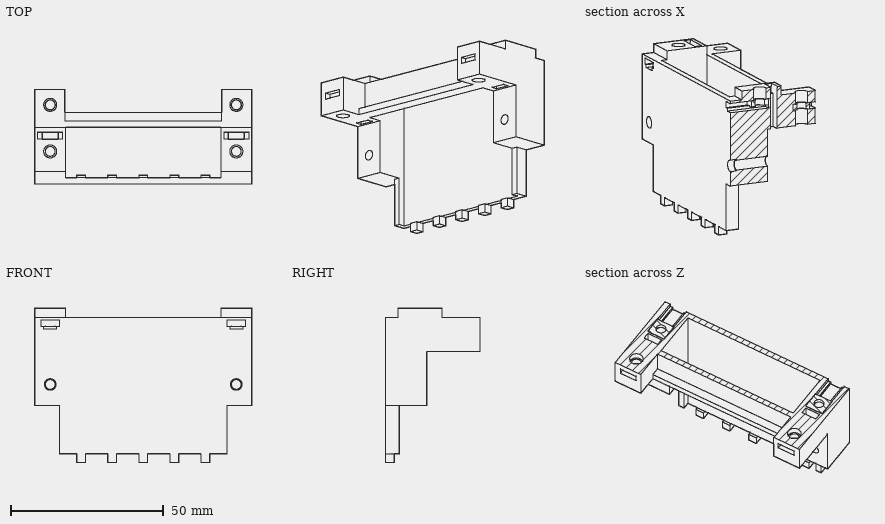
import cadquery as cq

WIDTH = 71.1
DEPTH = 31.0
HEIGHT = 50.5

PLATE_THICKNESS = 2.1
PLATE_BOTTOM = 2.85
TONGUE_WIDTH = 54.9
RIB_DEPTH = 4.55

TOOTH_COUNT = 5
TOOTH_PITCH = 10.2
TOOTH_WIDTH = 2.9
TOOTH_DEPTH = 3.0

BLOCK_WIDTH = 10.2
REAR_BLOCK_WIDTH = 9.95
PAD_HEIGHT = 3.0
PAD_FRONT = 4.1
PAD_BACK = 18.55
ARM_HEIGHT = 14.2
LEG_DEPTH = 13.6
LEG_HEIGHT = 31.85
SHOULDER = HEIGHT - PAD_HEIGHT
ARM_BOTTOM = HEIGHT - ARM_HEIGHT
LEG_BOTTOM = HEIGHT - LEG_HEIGHT

RAIL_WALL_BACK = 20.6
RAIL_LEDGE_BACK = 23.55
RAIL_LEDGE_THICKNESS = 2.05

HOLE_X = 30.45
SCREW_HOLE_DIAMETER = 4.3
FRONT_SCREW_Y = 10.75
REAR_SCREW_Y = 25.95
NUT_WIDTH = 6.1
NUT_THICKNESS = 2.05
NUT_BORE_DIAMETER = 3.2
NUT_DEPTH = 6.0
FRONT_NUT_BOTTOM = HEIGHT - NUT_DEPTH
REAR_NUT_BOTTOM = SHOULDER - NUT_DEPTH
TIP_GROOVE_DEPTH = 0.9

LEG_HOLE_Z = 25.5
LEG_HOLE_DIAMETER = 3.8
LEG_HOLE_BACK_DIAMETER = 3.2
LEG_HOLE_STEP_DEPTH = 2.3

SLOT_FRONT = 14.7
SLOT_BACK = 16.85
SLOT_WIDTH = 8.2
SLOT_LOWER_WIDTH = 5.1
SLOT_LEAD_IN = 0.3
SLOT_LEAD_IN_HEIGHT = 1.1

SIDES = (-1, 1)


def box(x_range, y_range, z_range):
    """A box between the given low and high coordinates."""
    (x0, x1), (y0, y1), (z0, z1) = x_range, y_range, z_range
    return cq.Workplane("XY").box(x1 - x0, y1 - y0, z1 - z0, centered=False).translate((x0, y0, z0))


def centred(x, width):
    """The X range of the given width around x."""
    return (x - width / 2, x + width / 2)


def upright_cylinder(x, y, z_range, diameter):
    """A cylinder along Z."""
    z0, z1 = z_range
    return cq.Workplane("XY").circle(diameter / 2).extrude(z1 - z0).translate((x, y, z0))


def level_cylinder(x, z, y_range, diameter):
    """A cylinder along Y."""
    y0, y1 = y_range
    return cq.Workplane("XZ").circle(diameter / 2).extrude(y0 - y1).translate((x, y0, z))


def front_plate():
    """Plate with a narrower tongue below the legs."""
    upper = box(centred(0, WIDTH), (0, PLATE_THICKNESS), (LEG_BOTTOM, SHOULDER))
    tongue = box(centred(0, TONGUE_WIDTH), (0, PLATE_THICKNESS), (PLATE_BOTTOM, LEG_BOTTOM))
    return upper.union(tongue)


def tooth(index):
    x = (index - (TOOTH_COUNT - 1) / 2) * TOOTH_PITCH
    return box(centred(x, TOOTH_WIDTH), (0, TOOTH_DEPTH), (0, PLATE_BOTTOM))


def rear_rail():
    span = centred(0, WIDTH - 2 * REAR_BLOCK_WIDTH)
    wall = box(span, (PAD_BACK, RAIL_WALL_BACK), (ARM_BOTTOM, SHOULDER))
    ledge = box(span, (PAD_BACK, RAIL_LEDGE_BACK), (ARM_BOTTOM, ARM_BOTTOM + RAIL_LEDGE_THICKNESS))
    return wall.union(ledge)


def end_block(side):
    """Leg, rearward arm, raised pad and the rib beside the tongue, at one end of the part."""
    outer = side * WIDTH / 2
    inner = side * (WIDTH / 2 - BLOCK_WIDTH)
    rear_inner = side * (WIDTH / 2 - REAR_BLOCK_WIDTH)
    x_range = sorted((outer, inner))
    leg = box(x_range, (0, LEG_DEPTH), (LEG_BOTTOM, SHOULDER))
    arm = box(x_range, (0, PAD_BACK), (ARM_BOTTOM, SHOULDER))
    pad = box(x_range, (PAD_FRONT, PAD_BACK), (SHOULDER, HEIGHT))
    rear = box(sorted((outer, rear_inner)), (PAD_BACK, DEPTH), (ARM_BOTTOM, SHOULDER))
    rib = box(sorted((side * TONGUE_WIDTH / 2, inner)), (0, RIB_DEPTH), (PLATE_BOTTOM, LEG_BOTTOM))
    return leg.union(arm).union(pad).union(rear).union(rib)


def nut_slot(x, y_range, nut_bottom):
    """Slot that a nut slides into along Y."""
    return box(centred(x, NUT_WIDTH), y_range, (nut_bottom, nut_bottom + NUT_THICKNESS))


def front_screw_cut(x):
    """Blind screw hole, the nut slot from the front face, and a groove under it for the screw tip."""
    groove_bottom = FRONT_NUT_BOTTOM - TIP_GROOVE_DEPTH
    hole = upright_cylinder(x, FRONT_SCREW_Y, (groove_bottom, HEIGHT), SCREW_HOLE_DIAMETER)
    slot_range = (0, FRONT_SCREW_Y + NUT_WIDTH / 2)
    slot = nut_slot(x, slot_range, FRONT_NUT_BOTTOM)
    groove = box(centred(x, SCREW_HOLE_DIAMETER), slot_range, (groove_bottom, FRONT_NUT_BOTTOM))
    return hole.union(slot).union(groove)


def rear_screw_cut(x):
    """Through screw hole and the nut slot from the back face."""
    hole = upright_cylinder(x, REAR_SCREW_Y, (ARM_BOTTOM, SHOULDER), SCREW_HOLE_DIAMETER)
    return hole.union(nut_slot(x, (REAR_SCREW_Y - NUT_WIDTH / 2, DEPTH), REAR_NUT_BOTTOM))


def leg_hole(x):
    """Hole through the leg, narrower behind a step."""
    wide = level_cylinder(x, LEG_HOLE_Z, (0, LEG_HOLE_STEP_DEPTH), LEG_HOLE_DIAMETER)
    return wide.union(level_cylinder(x, LEG_HOLE_Z, (0, LEG_DEPTH), LEG_HOLE_BACK_DIAMETER))


def pad_slot(x):
    """Slot down through the arm: wide in the pad with a sloped back edge, narrower below it."""
    lower = box(centred(x, SLOT_LOWER_WIDTH), (SLOT_FRONT, SLOT_BACK), (ARM_BOTTOM, SHOULDER))
    upper = (
        cq.Workplane("YZ")
        .moveTo(SLOT_FRONT, SHOULDER)
        .lineTo(SLOT_BACK, SHOULDER)
        .lineTo(SLOT_BACK, HEIGHT - SLOT_LEAD_IN_HEIGHT)
        .lineTo(SLOT_BACK + SLOT_LEAD_IN, HEIGHT)
        .lineTo(SLOT_FRONT, HEIGHT)
        .close()
        .extrude(SLOT_WIDTH / 2, both=True)
        .translate((x, 0, 0))
    )
    return lower.union(upper)


def make_housing():
    body = front_plate().union(rear_rail())
    for index in range(TOOTH_COUNT):
        body = body.union(tooth(index))
    for side in SIDES:
        body = body.union(end_block(side))
    for side in SIDES:
        x = side * HOLE_X
        for cut in (front_screw_cut(x), rear_screw_cut(x), leg_hole(x), pad_slot(x)):
            body = body.cut(cut)
    return body.clean()


def make_nut(x, y, bottom):
    """Square nut with a plain bore."""
    z_range = (bottom, bottom + NUT_THICKNESS)
    blank = box(centred(x, NUT_WIDTH), centred(y, NUT_WIDTH), z_range)
    return blank.cut(upright_cylinder(x, y, z_range, NUT_BORE_DIAMETER))


housing = make_housing()
nuts = []
for side in SIDES:
    nuts.append(make_nut(side * HOLE_X, FRONT_SCREW_Y, FRONT_NUT_BOTTOM))
    nuts.append(make_nut(side * HOLE_X, REAR_SCREW_Y, REAR_NUT_BOTTOM))

result = cq.Compound.makeCompound([housing.val(), *[nut.val() for nut in nuts]])